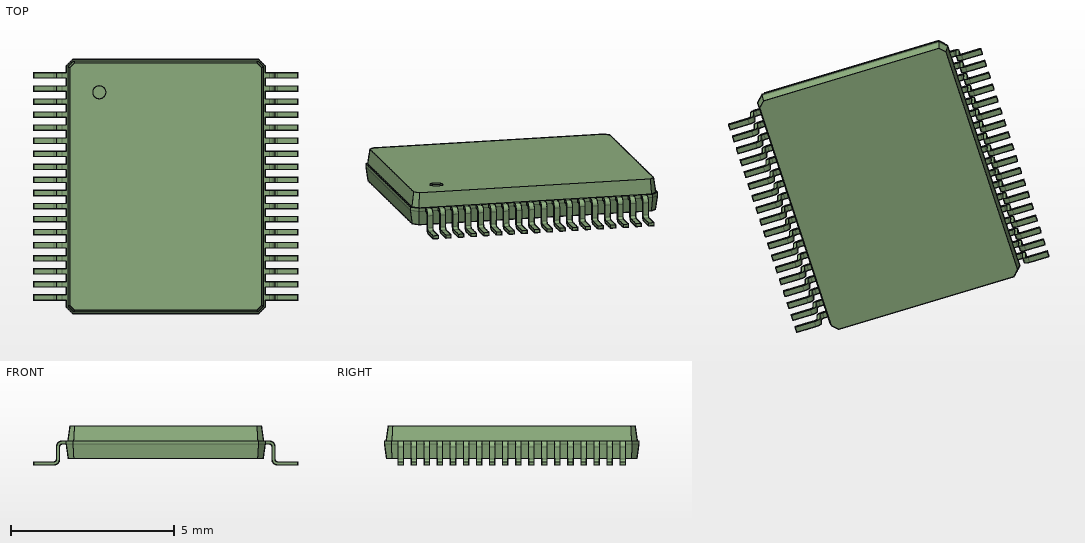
import cadquery as cq
import math

body_length_x = 6.1
body_length_y = 7.8
corner_chamfer = 0.21
package_top = 1.2
standoff = 0.2
draft_angle = 8.0
upper_step = 0.05

lead_span = 8.1
lead_thickness = 0.1
lead_width = 0.17
lead_pitch = 0.4
leads_per_side = 18
lead_top = 0.74
foot_length = 0.7
bend_inner_radius = 0.08
bend_outer_radius = bend_inner_radius + lead_thickness
lead_embed = 0.3

band_top = lead_top
band_bottom = lead_top - lead_thickness

dimple_diameter = 0.4
dimple_depth = 0.05
dimple_inset = 0.9
top_face_inset = upper_step + (package_top - band_top) * math.tan(math.radians(draft_angle))
dimple_x = dimple_inset + top_face_inset - body_length_x / 2
dimple_y = body_length_y / 2 - top_face_inset - dimple_inset


def chamfered_outline(z, inset=0.0):
    """Rectangle with cut corners at height z, every side moved inward by inset."""
    half_x = body_length_x / 2 - inset
    half_y = body_length_y / 2 - inset
    leg = corner_chamfer - inset * (2 - math.sqrt(2))
    corners = [
        (half_x - leg, half_y),
        (half_x, half_y - leg),
        (half_x, leg - half_y),
        (half_x - leg, -half_y),
        (leg - half_x, -half_y),
        (-half_x, leg - half_y),
        (-half_x, half_y - leg),
        (leg - half_x, half_y),
    ]
    return cq.Workplane("XY", origin=(0, 0, z)).polyline(corners).close()


def make_body():
    band = chamfered_outline(band_bottom).extrude(band_top - band_bottom)
    upper = chamfered_outline(band_top, upper_step).extrude(package_top - band_top, taper=draft_angle)
    lower = chamfered_outline(band_bottom).extrude(standoff - band_bottom, taper=draft_angle)
    return band.union(upper).union(lower)


def make_lead():
    """One lead on the +X side, centred on Y = 0: foot, upright and shoulder."""
    tip_x = lead_span / 2
    outer_x = tip_x - foot_length
    inner_x = outer_x - lead_thickness
    root_x = body_length_x / 2 - lead_embed
    shoulder_bottom = lead_top - lead_thickness
    shoulder_center = (outer_x - bend_outer_radius, lead_top - bend_outer_radius)
    foot_center = (inner_x + bend_outer_radius, bend_outer_radius)

    def on_arc(center, radius, angle):
        turn = math.radians(angle)
        return (center[0] + radius * math.cos(turn), center[1] + radius * math.sin(turn))

    profile = (
        cq.Workplane("XZ", origin=(0, lead_width / 2, 0))
        .moveTo(root_x, lead_top)
        .lineTo(shoulder_center[0], lead_top)
        .threePointArc(
            on_arc(shoulder_center, bend_outer_radius, 45),
            on_arc(shoulder_center, bend_outer_radius, 0),
        )
        .lineTo(outer_x, foot_center[1])
        .threePointArc(
            on_arc(foot_center, bend_inner_radius, 225),
            on_arc(foot_center, bend_inner_radius, 270),
        )
        .lineTo(tip_x, lead_thickness)
        .lineTo(tip_x, 0)
        .lineTo(foot_center[0], 0)
        .threePointArc(
            on_arc(foot_center, bend_outer_radius, 225),
            on_arc(foot_center, bend_outer_radius, 180),
        )
        .lineTo(inner_x, shoulder_center[1])
        .threePointArc(
            on_arc(shoulder_center, bend_inner_radius, 45),
            on_arc(shoulder_center, bend_inner_radius, 90),
        )
        .lineTo(root_x, shoulder_bottom)
        .close()
    )
    return profile.extrude(lead_width)


def make_leads():
    """Both rows of leads, spaced evenly about Y = 0."""
    right_lead = make_lead().val()
    left_lead = right_lead.mirror("YZ")
    first_y = -lead_pitch * (leads_per_side - 1) / 2
    leads = []
    for index in range(leads_per_side):
        shift = cq.Vector(0, first_y + index * lead_pitch, 0)
        leads.append(right_lead.translate(shift))
        leads.append(left_lead.translate(shift))
    return cq.Compound.makeCompound(leads)


def cut_pin_one_dimple(body):
    dimple = (
        cq.Workplane("XY", origin=(dimple_x, dimple_y, package_top))
        .circle(dimple_diameter / 2)
        .extrude(-dimple_depth)
    )
    return body.cut(dimple)


result = cut_pin_one_dimple(make_body().union(make_leads()))